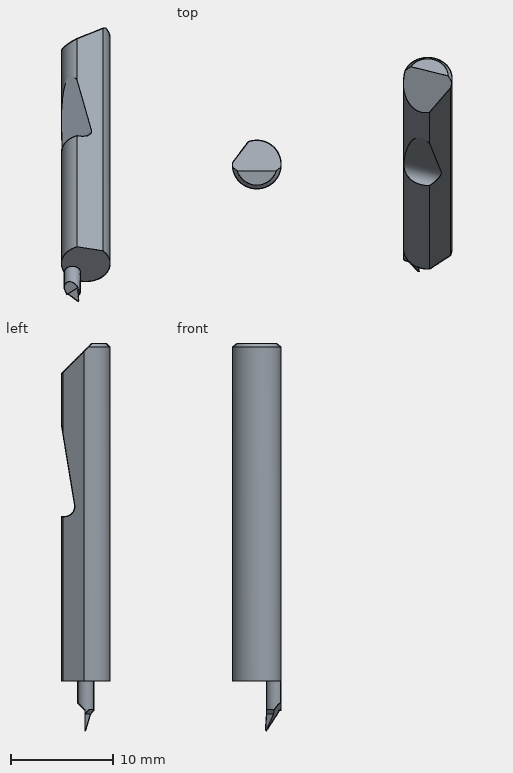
import cadquery as cq
import math

total_length = 37.88
shank_radius = 2.4
shank_bottom = 4.85
top_chamfer = 0.38

flat_distance = 2.0
flat_angle = 143.0

slope_start_y = -0.6
notch_top = 29.93
notch_bottom = 20.95
notch_floor_y = 0.9
notch_corner_radius = 1.0

neck_radius = 0.8
neck_center_x = 1.75
neck_left_x = neck_center_x - neck_radius

rake_y = 0.08
rake_shoulder_z = 2.0
tip_overhang = 0.1
tip_left_x = neck_left_x - tip_overhang
nose_size = 0.1
cutting_edge_angle = 57.0
relief_slope = 1.0
side_relief_angle = 38.0
transition_bottom = 1.63
transition_height = 0.45

cut_size = 4 * shank_radius


def side_prism(profile):
    """Extrude a closed YZ profile symmetrically across the shank."""
    return profile.close().extrude(shank_radius, both=True)


def make_shank():
    shank_length = total_length - shank_bottom
    shank = cq.Workplane("XY", origin=(0, 0, shank_bottom)).circle(shank_radius).extrude(shank_length)
    shank = shank.faces(">Z").chamfer(top_chamfer)
    flat = (
        cq.Workplane("XY")
        .center(flat_distance + cut_size / 2, 0)
        .rect(cut_size, cut_size)
        .extrude(total_length)
        .rotate((0, 0, 0), (0, 0, 1), flat_angle)
    )
    slope_run = 2 * shank_radius
    slope = side_prism(
        cq.Workplane("YZ")
        .moveTo(slope_start_y, total_length)
        .lineTo(slope_start_y + slope_run, total_length - slope_run)
        .lineTo(slope_start_y + slope_run, total_length)
    )
    notch = side_prism(
        cq.Workplane("YZ")
        .moveTo(shank_radius, notch_top)
        .lineTo(notch_floor_y, notch_bottom)
        .lineTo(2 * shank_radius, notch_bottom)
        .lineTo(2 * shank_radius, notch_top)
    )
    notch = notch.edges("|X and <Y").fillet(notch_corner_radius)
    return shank.cut(flat).cut(slope).cut(notch)


def make_neck_bar(radius):
    return cq.Workplane("XY").center(neck_center_x, 0).circle(radius).extrude(shank_bottom)


def wedge_points(left_x):
    """Plan of the tooth, leaning away from the rake face by the side relief."""
    depth = 2 * neck_radius
    lean = depth / math.tan(math.radians(side_relief_angle))
    right_x = left_x + lean + neck_radius
    return [(left_x, rake_y), (right_x, rake_y), (right_x, rake_y - depth), (left_x + lean, rake_y - depth)]


def make_wedge(bottom, height, bottom_left_x, top_left_x):
    return (
        cq.Workplane("XY", origin=(0, 0, bottom))
        .polyline(wedge_points(bottom_left_x))
        .close()
        .workplane(offset=height)
        .polyline(wedge_points(top_left_x))
        .close()
        .loft(ruled=True)
    )


def make_end_relief():
    """Sheared prism that keeps the material above the cutting edge and its relief."""
    edge_run = shank_radius
    edge_rise = edge_run * math.tan(math.radians(cutting_edge_angle))
    nose_right_x = tip_left_x + nose_size
    profile = [
        (tip_left_x, nose_size),
        (nose_right_x, 0),
        (nose_right_x + edge_run, edge_rise),
        (nose_right_x + edge_run, 2 * shank_bottom),
        (-shank_radius, 2 * shank_bottom),
        (-shank_radius, nose_size),
    ]
    depth = 2 * neck_radius
    front = [cq.Vector(x, rake_y, z) for x, z in profile]
    back = [cq.Vector(x, rake_y - depth, z + depth * relief_slope) for x, z in profile]
    outlines = [cq.Wire.makePolygon(points, close=True) for points in (front, back)]
    solid = cq.Solid.makeLoft(outlines, True)
    return cq.Workplane(obj=solid)


def make_front_half():
    """Half of the neck in front of the rake face, carrying the tooth."""
    transition_top = transition_bottom + transition_height
    tooth_limit = make_neck_bar(neck_radius + tip_overhang)
    tooth = make_wedge(0, transition_bottom, tip_left_x, neck_left_x).intersect(tooth_limit)
    transition = make_wedge(transition_bottom, transition_height, neck_left_x, neck_left_x - transition_height)
    above = (
        cq.Workplane("XY", origin=(0, 0, transition_top))
        .rect(cut_size, cut_size)
        .extrude(shank_bottom - transition_top)
    )
    neck = make_neck_bar(neck_radius).intersect(transition.union(above))
    return neck.union(tooth).intersect(make_end_relief())


def make_rear_half():
    """Half of the neck behind the rake face, with its lower end cut at 45 degrees."""
    rear_width = neck_radius - rake_y
    keep = side_prism(
        cq.Workplane("YZ")
        .moveTo(rake_y, rake_shoulder_z)
        .lineTo(neck_radius, rake_shoulder_z + rear_width)
        .lineTo(neck_radius, shank_bottom)
        .lineTo(rake_y, shank_bottom)
    )
    return make_neck_bar(neck_radius).intersect(keep)


def make_cutting_end():
    shank_outline = cq.Workplane("XY").circle(shank_radius).extrude(shank_bottom)
    return make_front_half().union(make_rear_half()).intersect(shank_outline)


result = make_shank().union(make_cutting_end())